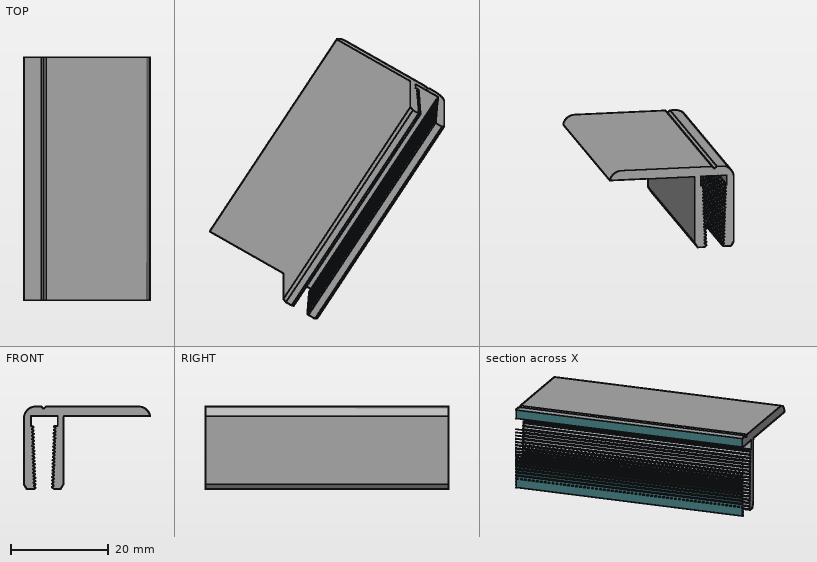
import cadquery as cq
import math


length = 50.0
width = 26.0
height = 17.0

flange_thickness = 2.0
corner_radius = 2.5
nose_radius = 2.5
groove_width = 1.0
groove_depth = groove_width / 2
inner_corner_radius = 0.25

clip_width = 8.2
outer_wall = 1.5
inner_wall = 1.25
leg_chamfer_width = 0.6
leg_chamfer_height = 1.0

teeth_top = 4.0
tooth_count = 19
tooth_depth = 0.45
tooth_span = 12.45
outer_first_tip = 4.3
inner_first_tip = 4.15
tip_offset_top = 2.05
tip_offset_bottom = 2.5

tooth_pitch = tooth_span / (tooth_count - 1)
clip_center = clip_width / 2
slot_right = clip_width - inner_wall
nose_start = width - math.sqrt(nose_radius**2 - (nose_radius - flange_thickness) ** 2)


def tip_offset(depth):
    """Offset of the tip line from the leg's outer face at a given depth."""
    lean = (tip_offset_bottom - tip_offset_top) / (height - teeth_top)
    return tip_offset_top + lean * (depth - teeth_top)


def serrated_edge(first_tip):
    """Points (offset from the leg's outer face, depth) down one toothed wall."""
    half_pitch = tooth_pitch / 2
    flank_slope = tooth_depth / half_pitch

    points = [(tip_offset(teeth_top) - flank_slope * (first_tip - teeth_top), teeth_top)]
    for i in range(tooth_count):
        tip = first_tip + i * tooth_pitch
        if i > 0:
            valley = tip - half_pitch
            points.append((tip_offset(valley) - tooth_depth, valley))
        points.append((tip_offset(tip), tip))

    last_tip = first_tip + tooth_span
    points.append((tip_offset(last_tip) - flank_slope * (height - last_tip), height))
    return points


def clip_slot():
    """Serrated slot between the two legs, open at the bottom."""
    left = [(x, -d) for x, d in serrated_edge(outer_first_tip)]
    right = [(clip_width - x, -d) for x, d in serrated_edge(inner_first_tip)]
    points = [(outer_wall, -teeth_top)] + left + right[::-1]
    points += [
        (slot_right, -teeth_top),
        (slot_right, -flange_thickness),
        (outer_wall, -flange_thickness),
    ]
    return cq.Workplane("XZ").polyline(points).close().extrude(length)


def outer_body():
    """Flange and clip as a solid block, without the slot and the groove."""
    corner_mid = corner_radius * (1 - math.sqrt(0.5))
    inner_mid = inner_corner_radius * (1 - math.sqrt(0.5))
    nose_end_angle = math.acos((nose_radius - flange_thickness) / nose_radius)
    nose_mid = (
        nose_start + nose_radius * math.sin(nose_end_angle / 2),
        -nose_radius * (1 - math.cos(nose_end_angle / 2)),
    )
    return (
        cq.Workplane("XZ")
        .moveTo(corner_radius, 0)
        .lineTo(nose_start, 0)
        .threePointArc(nose_mid, (width, -flange_thickness))
        .lineTo(clip_width + inner_corner_radius, -flange_thickness)
        .threePointArc(
            (clip_width + inner_mid, -flange_thickness - inner_mid),
            (clip_width, -flange_thickness - inner_corner_radius),
        )
        .lineTo(clip_width, -height + leg_chamfer_height)
        .lineTo(clip_width - leg_chamfer_width, -height)
        .lineTo(leg_chamfer_width, -height)
        .lineTo(0, -height + leg_chamfer_height)
        .lineTo(0, -corner_radius)
        .threePointArc((corner_mid, -corner_mid), (corner_radius, 0))
        .close()
        .extrude(length)
    )


def top_groove():
    """V groove in the flange top, centred over the clip."""
    points = [
        (clip_center - groove_width / 2, 0),
        (clip_center + groove_width / 2, 0),
        (clip_center, -groove_depth),
    ]
    return cq.Workplane("XZ").polyline(points).close().extrude(length)


result = outer_body().cut(clip_slot()).cut(top_groove())